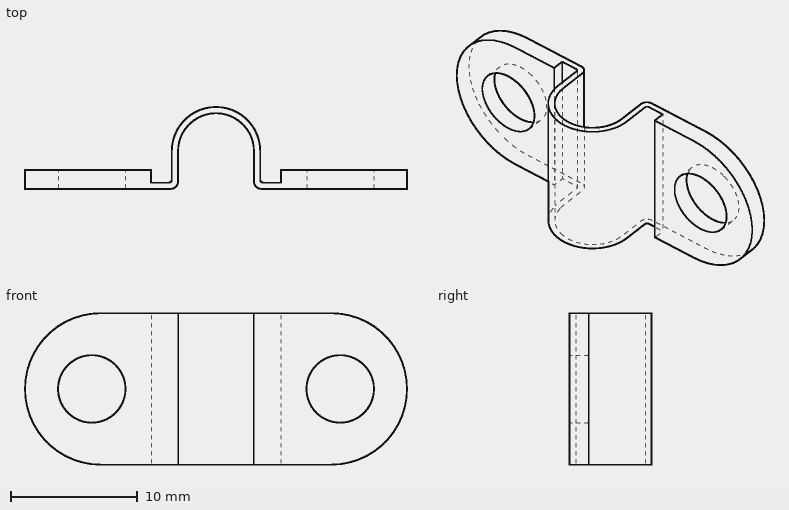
import cadquery as cq

length = 30.2
height = 12.0
depth = 6.5
sheet = 0.5
pad_thickness = 1.5
pad_inner_x = 5.13
arch_outer_radius = 3.5
bend_outer_radius = 0.6
bend_inner_radius = 0.2
hole_diameter = 5.32
hole_offset = 9.8

arch_inner_radius = arch_outer_radius - sheet
arch_center_y = depth - arch_outer_radius
half_length = length / 2
end_radius = height / 2


def strap_body():
    """Saddle section in XY, with its mounting face on Y = 0, extruded along Z."""
    section = (
        cq.Workplane("XY")
        .moveTo(-half_length, 0)
        .lineTo(-arch_inner_radius, 0)
        .lineTo(-arch_inner_radius, arch_center_y)
        .threePointArc((0, depth - sheet), (arch_inner_radius, arch_center_y))
        .lineTo(arch_inner_radius, 0)
        .lineTo(half_length, 0)
        .lineTo(half_length, pad_thickness)
        .lineTo(pad_inner_x, pad_thickness)
        .lineTo(pad_inner_x, sheet)
        .lineTo(arch_outer_radius, sheet)
        .lineTo(arch_outer_radius, arch_center_y)
        .threePointArc((0, depth), (-arch_outer_radius, arch_center_y))
        .lineTo(-arch_outer_radius, sheet)
        .lineTo(-pad_inner_x, sheet)
        .lineTo(-pad_inner_x, pad_thickness)
        .lineTo(-half_length, pad_thickness)
        .close()
    )
    return section.extrude(end_radius, both=True)


def round_bends(body):
    """Round both faces of the sheet where the arch legs meet the flanges."""
    bends = (
        (arch_inner_radius, 0, bend_outer_radius),
        (arch_outer_radius, sheet, bend_inner_radius),
    )
    for x, y, radius in bends:
        for side in (-1, 1):
            edge = cq.selectors.NearestToPointSelector((side * x, y, 0))
            body = body.edges("|Z").edges(edge).fillet(radius)
    return body


def rounded_outline():
    """Full-round envelope of the strap, seen along Y."""
    return cq.Workplane("XZ").slot2D(length, height).extrude(-depth)


def mounting_holes():
    """Cylinders through both pads."""
    centers = [(-hole_offset, 0), (hole_offset, 0)]
    return cq.Workplane("XZ").pushPoints(centers).circle(hole_diameter / 2).extrude(-pad_thickness)


result = round_bends(strap_body()).intersect(rounded_outline()).cut(mounting_holes())